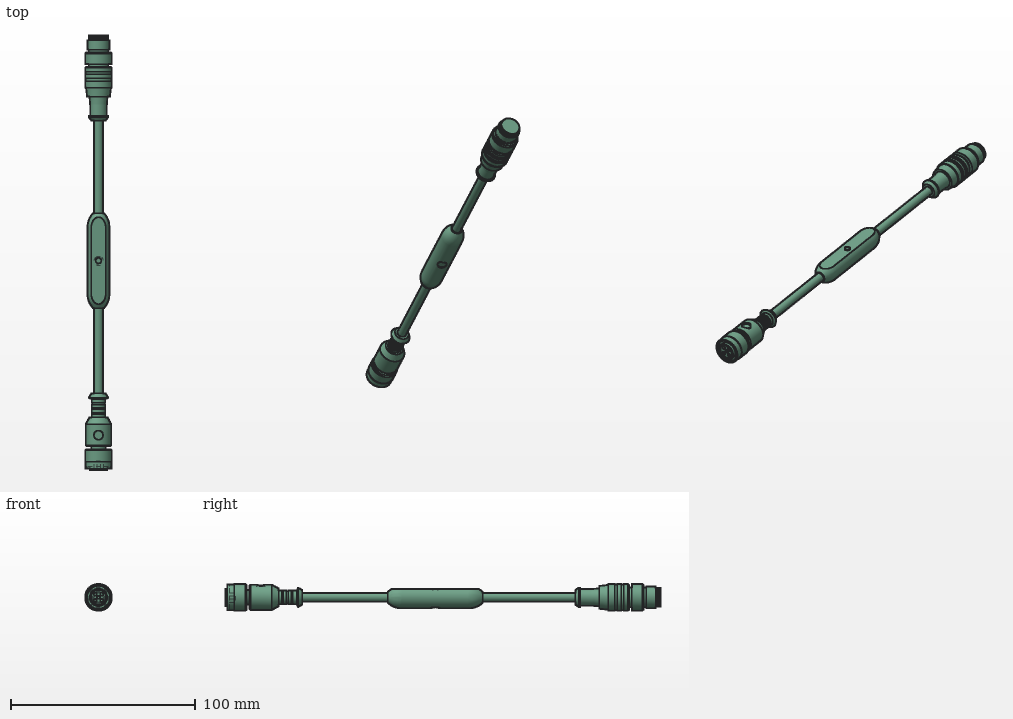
import cadquery as cq
import math


PLUG_END = 117.9
SOCKET_END = -117.9

CABLE_R = 5.0 / 2
CABLE_OVERLAP = 0.7

NUT_R = 7.3
CHAMFER = 0.7
FLANGE_R = 10.5 / 2
FLANGE_TIP_R = 7.8 / 2

DIMPLE_D = 5.0

THREAD_FRONT = 115.3
THREAD_REAR = 110.0
PLUG_NUT_FRONT = 108.7
PLUG_NUT_REAR = 102.3
GRIP_FRONT = 101.0
GRIP_REAR = 89.5
SHOULDER_REAR = 84.6
COLLAR_REAR = 80.5
PLUG_FLANGE_FRONT = 74.3
PLUG_FLANGE_REAR = 73.5
PLUG_TAIL = 71.7

NOSE_R = 5.2
THREAD_R = 12.0 / 2
PLUG_NECK_R = 5.5
SHOULDER_FRONT_R = 6.8
SHOULDER_REAR_R = 12.5 / 2
COLLAR_FRONT_R = 5.0
STRAIN_R = 9.2 / 2
GRIP_GROOVE_CENTRES = (97.4, 93.8)
GRIP_GROOVE_WIDTH = 1.5
GRIP_GROOVE_DEPTH = 0.2
NOSE_GROOVE_CENTRE = 116.5
NOSE_GROOVE_WIDTH = 0.7
NOSE_GROOVE_DEPTH = 0.12

HOUSING_R = 12.0 / 2
HOUSING_TIP_R = 3.0
HOUSING_CENTRE = -4.2
HOUSING_HALF_STRAIGHT = 18.2
HOUSING_HALF_LENGTH = 25.7
HOUSING_HEIGHT = 10.5
HOUSING_FLAT_Z = HOUSING_HEIGHT - HOUSING_R
LAMP_D = 3.0
LAMP_DEPTH = 0.5
UNDERSIDE_DIMPLE_DEPTH = 0.7

SOCKET_TAIL = -76.1
SOCKET_FLANGE_PEAK = -78.5
BOOT_START = -79.2
BOOT_END = -89.0
BODY_START = -93.0
BODY_END = -105.0
SOCKET_NUT_START = -106.3
SOCKET_NUT_STEP = -113.2
SOCKET_NUT_END = -117.0

BOOT_R = 3.8
CONE_START_R = 5.0
BODY_R = 14.0 / 2
SOCKET_NECK_R = 4.0
SOCKET_NUT_TIP_R = 7.0
INSERT_R = 4.7
NUT_BORE_R = 12.5 / 2
NUT_BORE_DEPTH = 1.2
BOOT_GROOVE_FIRST = -81.8
BOOT_GROOVE_PITCH = 2.5
BOOT_GROOVE_COUNT = 3
BOOT_GROOVE_WIDTH = 1.0
BOOT_GROOVE_DEPTH = 0.35

DIMPLE_Y = -98.8
DIMPLE_FLOOR_Z = 6.0

FACE_D = 8.0
FACE_RECESS = 0.5
CONTACT_D = 1.72
CONTACT_CIRCLE_R = 5.0 / 2
CONTACT_COUNT = 4
FIRST_CONTACT_ANGLE = 45
CONTACT_DEPTH = 4.7


def turned(points):
    """Revolve (radius, y) points, closed along the axis, about Y."""
    outline = [(0, points[0][1])] + points + [(0, points[-1][1])]
    return cq.Workplane("XY").polyline(outline).close().revolve(360, (0, 0), (0, 1))


def ring_groove(radius, centre, width, depth):
    """Ring straddling the surface of a cylinder, to cut a groove of the given depth."""
    return (
        cq.Workplane("XZ", origin=(0, centre + width / 2, 0))
        .circle(radius + depth)
        .circle(radius - depth)
        .extrude(width)
    )


def upright_hole(diameter, y, z_floor, z_top):
    """Vertical cylinder on the X = 0 plane."""
    return (
        cq.Workplane("XY", origin=(0, y, z_floor))
        .circle(diameter / 2)
        .extrude(z_top - z_floor)
    )


def male_plug():
    plug = turned([
        (NOSE_R, PLUG_END),
        (NOSE_R, THREAD_FRONT),
        (THREAD_R, THREAD_FRONT),
        (THREAD_R, THREAD_REAR),
        (PLUG_NECK_R, THREAD_REAR),
        (PLUG_NECK_R, PLUG_NUT_FRONT),
        (NUT_R - CHAMFER, PLUG_NUT_FRONT),
        (NUT_R, PLUG_NUT_FRONT - CHAMFER),
        (NUT_R, PLUG_NUT_REAR),
        (PLUG_NECK_R, PLUG_NUT_REAR),
        (PLUG_NECK_R, GRIP_FRONT),
        (NUT_R - CHAMFER, GRIP_FRONT),
        (NUT_R, GRIP_FRONT - CHAMFER),
        (NUT_R, GRIP_REAR),
        (SHOULDER_FRONT_R, GRIP_REAR),
        (SHOULDER_REAR_R, SHOULDER_REAR),
        (COLLAR_FRONT_R, SHOULDER_REAR),
        (STRAIN_R, COLLAR_REAR),
        (STRAIN_R, PLUG_FLANGE_FRONT),
        (FLANGE_R, PLUG_FLANGE_FRONT),
        (FLANGE_R, PLUG_FLANGE_REAR),
        (FLANGE_TIP_R, PLUG_TAIL),
    ])
    for centre in GRIP_GROOVE_CENTRES:
        plug = plug.cut(ring_groove(NUT_R, centre, GRIP_GROOVE_WIDTH, GRIP_GROOVE_DEPTH))
    return plug.cut(ring_groove(NOSE_R, NOSE_GROOVE_CENTRE, NOSE_GROOVE_WIDTH, NOSE_GROOVE_DEPTH))


def housing():
    rise = HOUSING_R - HOUSING_TIP_R
    run = HOUSING_HALF_LENGTH - HOUSING_HALF_STRAIGHT
    arc_r = (rise**2 + run**2) / (2 * rise)
    mid_angle = math.asin(run / arc_r) / 2
    mid_r = HOUSING_R - arc_r * (1 - math.cos(mid_angle))
    mid_y = HOUSING_HALF_STRAIGHT + arc_r * math.sin(mid_angle)
    bar = (
        cq.Workplane("XY", origin=(0, HOUSING_CENTRE, 0))
        .moveTo(0, -HOUSING_HALF_LENGTH)
        .lineTo(HOUSING_TIP_R, -HOUSING_HALF_LENGTH)
        .threePointArc((mid_r, -mid_y), (HOUSING_R, -HOUSING_HALF_STRAIGHT))
        .lineTo(HOUSING_R, HOUSING_HALF_STRAIGHT)
        .threePointArc((mid_r, mid_y), (HOUSING_TIP_R, HOUSING_HALF_LENGTH))
        .lineTo(0, HOUSING_HALF_LENGTH)
        .close()
        .revolve(360, (0, 0), (0, 1))
    )
    above_flat = cq.Workplane("XY", origin=(0, HOUSING_CENTRE, HOUSING_FLAT_Z)).box(
        2 * HOUSING_R, 2 * HOUSING_HALF_LENGTH, HOUSING_R, centered=(True, True, False)
    )
    lamp = upright_hole(LAMP_D, HOUSING_CENTRE, HOUSING_FLAT_Z - LAMP_DEPTH, HOUSING_R)
    underside_dimple = upright_hole(
        DIMPLE_D, HOUSING_CENTRE, -HOUSING_R, UNDERSIDE_DIMPLE_DEPTH - HOUSING_R
    )
    return bar.cut(above_flat).cut(lamp).cut(underside_dimple)


def contact_hole(x, z):
    """Blind hole running into the socket face along +Y."""
    face_y = SOCKET_END + FACE_RECESS
    return (
        cq.Workplane("XZ", origin=(x, face_y, z))
        .circle(CONTACT_D / 2)
        .extrude(-CONTACT_DEPTH)
    )


def female_socket():
    socket = turned([
        (FLANGE_TIP_R, SOCKET_TAIL),
        (FLANGE_R, SOCKET_FLANGE_PEAK),
        (BOOT_R, BOOT_START),
        (BOOT_R, BOOT_END),
        (CONE_START_R, BOOT_END),
        (BODY_R, BODY_START),
        (BODY_R, BODY_END + CHAMFER),
        (BODY_R - CHAMFER, BODY_END),
        (SOCKET_NECK_R, BODY_END),
        (SOCKET_NECK_R, SOCKET_NUT_START),
        (NUT_R - CHAMFER, SOCKET_NUT_START),
        (NUT_R, SOCKET_NUT_START - CHAMFER),
        (NUT_R, SOCKET_NUT_STEP),
        (SOCKET_NUT_TIP_R, SOCKET_NUT_STEP),
        (SOCKET_NUT_TIP_R, SOCKET_NUT_END),
        (NUT_BORE_R, SOCKET_NUT_END),
        (NUT_BORE_R, SOCKET_NUT_END + NUT_BORE_DEPTH),
        (INSERT_R, SOCKET_NUT_END + NUT_BORE_DEPTH),
        (INSERT_R, SOCKET_END),
    ])
    for index in range(BOOT_GROOVE_COUNT):
        centre = BOOT_GROOVE_FIRST - index * BOOT_GROOVE_PITCH
        socket = socket.cut(ring_groove(BOOT_R, centre, BOOT_GROOVE_WIDTH, BOOT_GROOVE_DEPTH))
    socket = socket.cut(upright_hole(DIMPLE_D, DIMPLE_Y, DIMPLE_FLOOR_Z, BODY_R))

    recess = cq.Workplane("XZ", origin=(0, SOCKET_END, 0)).circle(FACE_D / 2).extrude(-FACE_RECESS)
    socket = socket.cut(recess).cut(contact_hole(0, 0))
    for index in range(CONTACT_COUNT):
        angle = math.radians(FIRST_CONTACT_ANGLE + index * 360 / CONTACT_COUNT)
        x = CONTACT_CIRCLE_R * math.cos(angle)
        z = CONTACT_CIRCLE_R * math.sin(angle)
        socket = socket.cut(contact_hole(x, z))
    return socket


cable = turned([(CABLE_R, PLUG_TAIL + CABLE_OVERLAP), (CABLE_R, SOCKET_TAIL - CABLE_OVERLAP)])
result = cable.union(housing()).union(male_plug()).union(female_socket())